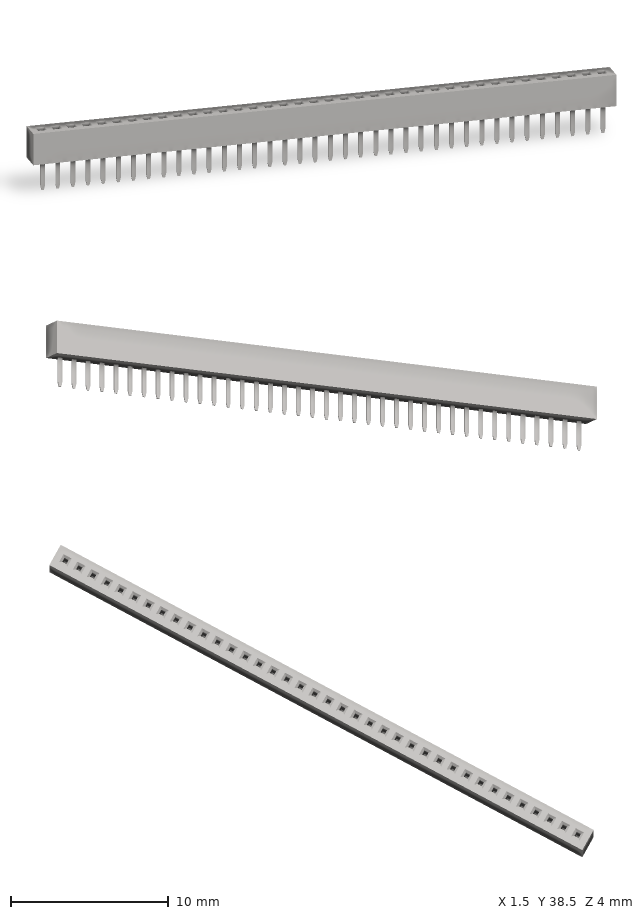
import cadquery as cq

HOUSING_LENGTH = 38.5
HOUSING_WIDTH = 1.5
HOUSING_HEIGHT = 2.1
TOTAL_HEIGHT = 4.0

CONTACT_COUNT = 38
END_MARGIN = 0.75
CONTACT_THICKNESS = 0.1
CONTACT_PITCH = HOUSING_LENGTH / (CONTACT_COUNT - 1 + 2 * END_MARGIN)

FUNNEL_MOUTH = 0.6 * CONTACT_PITCH
FUNNEL_THROAT = FUNNEL_MOUTH / 2
FUNNEL_DEPTH = (FUNNEL_MOUTH - FUNNEL_THROAT) / 2
WELL_DEPTH = 1.0

BLADE_WIDTH = 0.25
BLADE_HEIGHT = 0.4

PIN_OFFSET_X = 0.29
PIN_WIDTH = 0.3
PIN_LENGTH = TOTAL_HEIGHT - HOUSING_HEIGHT
PIN_TIP_WIDTH = PIN_WIDTH / 2
PIN_TIP_HEIGHT = PIN_WIDTH


def contact_positions():
    """Y positions of the contacts, centred on the housing."""
    first = -CONTACT_PITCH * (CONTACT_COUNT - 1) / 2
    return [first + index * CONTACT_PITCH for index in range(CONTACT_COUNT)]


def make_housing():
    return cq.Workplane("XY").box(
        HOUSING_WIDTH, HOUSING_LENGTH, HOUSING_HEIGHT, centered=(True, True, False)
    )


def make_socket():
    """Solid to be removed for one socket, with its mouth at the housing top."""
    funnel = (
        cq.Workplane("XY", origin=(0, 0, HOUSING_HEIGHT))
        .rect(FUNNEL_MOUTH, FUNNEL_MOUTH)
        .workplane(offset=-FUNNEL_DEPTH)
        .rect(FUNNEL_THROAT, FUNNEL_THROAT)
        .loft(ruled=True)
    )
    well = (
        cq.Workplane("XY", origin=(0, 0, HOUSING_HEIGHT - FUNNEL_DEPTH))
        .rect(FUNNEL_THROAT, FUNNEL_THROAT)
        .extrude(-WELL_DEPTH)
    )
    return funnel.union(well)


def make_blade():
    """Upright contact blade in the middle of a well."""
    floor = HOUSING_HEIGHT - FUNNEL_DEPTH - WELL_DEPTH
    return (
        cq.Workplane("XY", origin=(0, 0, floor))
        .rect(CONTACT_THICKNESS, BLADE_WIDTH)
        .extrude(BLADE_HEIGHT)
    )


def make_pin():
    """One blade hanging from the underside of the housing."""
    half_width = PIN_WIDTH / 2
    half_tip = PIN_TIP_WIDTH / 2
    taper_start = PIN_TIP_HEIGHT - PIN_LENGTH
    outline = [
        (-half_width, 0),
        (-half_width, taper_start),
        (-half_tip, -PIN_LENGTH),
        (half_tip, -PIN_LENGTH),
        (half_width, taper_start),
        (half_width, 0),
    ]
    return (
        cq.Workplane("YZ", origin=(PIN_OFFSET_X, 0, 0))
        .polyline(outline)
        .close()
        .extrude(CONTACT_THICKNESS / 2, both=True)
    )


def repeat_along_row(shape):
    """Copies of a shape at every contact position, as one compound."""
    solid = shape.val()
    copies = [solid.translate(cq.Vector(0, y, 0)) for y in contact_positions()]
    return cq.Workplane(cq.Compound.makeCompound(copies))


sockets = repeat_along_row(make_socket())
blades = repeat_along_row(make_blade())
pins = repeat_along_row(make_pin())
result = make_housing().cut(sockets).union(blades).union(pins)